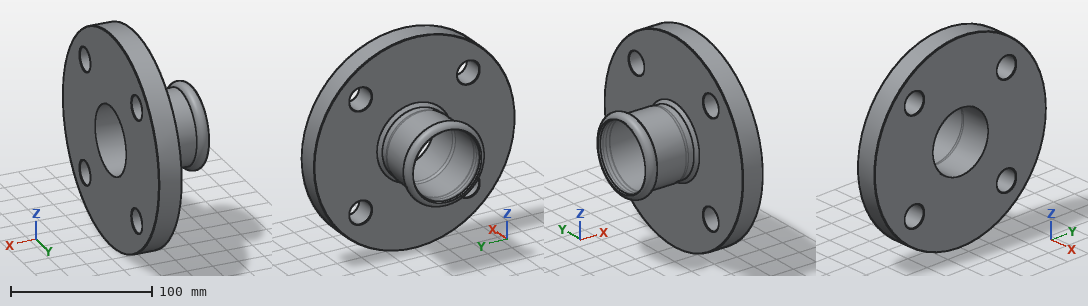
import math

import cadquery as cq

FLANGE_DIAMETER = 165.0
FLANGE_THICKNESS = 18.0
FLANGE_CHAMFER = 0.5
BOLT_HOLE_DIAMETER = 18.0
BOLT_HOLE_CHAMFER = 0.5
BOLT_CIRCLE_DIAMETER = 125.0
BOLT_COUNT = 4

TOTAL_LENGTH = 63.6
SOCKET_OUTER_DIAMETER = 57.5
SOCKET_BORE_DIAMETER = 54.5
SOCKET_END = 35.3
NECK_OUTER_DIAMETER = 56.2
NECK_START = 37.8
BORE_DIAMETER = 53.0

BEAD_DIAMETER = 64.8
BEAD_RADIUS = 5.0
MOUTH_DIAMETER = 56.2
MOUTH_TAPER_LENGTH = 1.4
BEAD_BORE_DIAMETER = 54.7
BEAD_BORE_END = 9.2
BEAD_BORE_TAPER_LENGTH = 0.5
SEAL_DIAMETER = 54.6
SEAL_WIDTH = 2.8
SEAL_MIDDLE = 4.9

WELD_LEG = 2.75

flange_face = TOTAL_LENGTH - FLANGE_THICKNESS


def revolve_about_x(profile):
    """Turn a closed half-profile in the XY plane a full turn about the X axis."""
    return profile.revolve(360, (0, 0, 0), (1, 0, 0))


def make_body():
    """Revolve the flange, neck, socket and bead about the X axis."""
    bead_bore = BEAD_BORE_DIAMETER / 2
    mouth = MOUTH_DIAMETER / 2
    bead_outer = BEAD_DIAMETER / 2
    bead_axis = bead_outer - BEAD_RADIUS
    bead_middle = math.sqrt(BEAD_RADIUS**2 - (mouth - bead_axis) ** 2)
    seal_start = SEAL_MIDDLE - SEAL_WIDTH / 2
    seal_end = SEAL_MIDDLE + SEAL_WIDTH / 2
    socket_outer = SOCKET_OUTER_DIAMETER / 2
    socket_bore = SOCKET_BORE_DIAMETER / 2
    neck_outer = NECK_OUTER_DIAMETER / 2
    flange_outer = FLANGE_DIAMETER / 2
    bore = BORE_DIAMETER / 2
    bead_end = bead_middle + math.sqrt(BEAD_RADIUS**2 - (socket_outer - bead_axis) ** 2)
    profile = (
        cq.Workplane("XY")
        .moveTo(0, mouth)
        .threePointArc((bead_middle, bead_outer), (bead_end, socket_outer))
        .lineTo(SOCKET_END, socket_outer)
        .lineTo(NECK_START, neck_outer)
        .lineTo(flange_face - WELD_LEG, neck_outer)
        .lineTo(flange_face, neck_outer + WELD_LEG)
        .lineTo(flange_face, flange_outer - FLANGE_CHAMFER)
        .lineTo(flange_face + FLANGE_CHAMFER, flange_outer)
        .lineTo(TOTAL_LENGTH - FLANGE_CHAMFER, flange_outer)
        .lineTo(TOTAL_LENGTH, flange_outer - FLANGE_CHAMFER)
        .lineTo(TOTAL_LENGTH, bore)
        .lineTo(NECK_START, bore)
        .lineTo(SOCKET_END, socket_bore)
        .lineTo(BEAD_BORE_END + BEAD_BORE_TAPER_LENGTH, socket_bore)
        .lineTo(BEAD_BORE_END, bead_bore)
        .lineTo(seal_end, bead_bore)
        .threePointArc((SEAL_MIDDLE, SEAL_DIAMETER / 2), (seal_start, bead_bore))
        .lineTo(MOUTH_TAPER_LENGTH, bead_bore)
        .close()
    )
    return revolve_about_x(profile)


def make_bolt_hole_cutter():
    """Drill with a chamfered entry at both flange faces, on the X axis."""
    radius = BOLT_HOLE_DIAMETER / 2
    wide = radius + BOLT_HOLE_CHAMFER
    profile = (
        cq.Workplane("XY")
        .moveTo(flange_face, 0)
        .lineTo(flange_face, wide)
        .lineTo(flange_face + BOLT_HOLE_CHAMFER, radius)
        .lineTo(TOTAL_LENGTH - BOLT_HOLE_CHAMFER, radius)
        .lineTo(TOTAL_LENGTH, wide)
        .lineTo(TOTAL_LENGTH, 0)
        .close()
    )
    return revolve_about_x(profile)


def cut_bolt_holes(body):
    """Cut the bolt holes, straddling the Y and Z axes."""
    pitch = 360 / BOLT_COUNT
    cutter = make_bolt_hole_cutter().translate((0, BOLT_CIRCLE_DIAMETER / 2, 0))
    for index in range(BOLT_COUNT):
        angle = pitch * (index + 0.5)
        body = body.cut(cutter.rotate((0, 0, 0), (1, 0, 0), angle))
    return body


result = cut_bolt_holes(make_body())